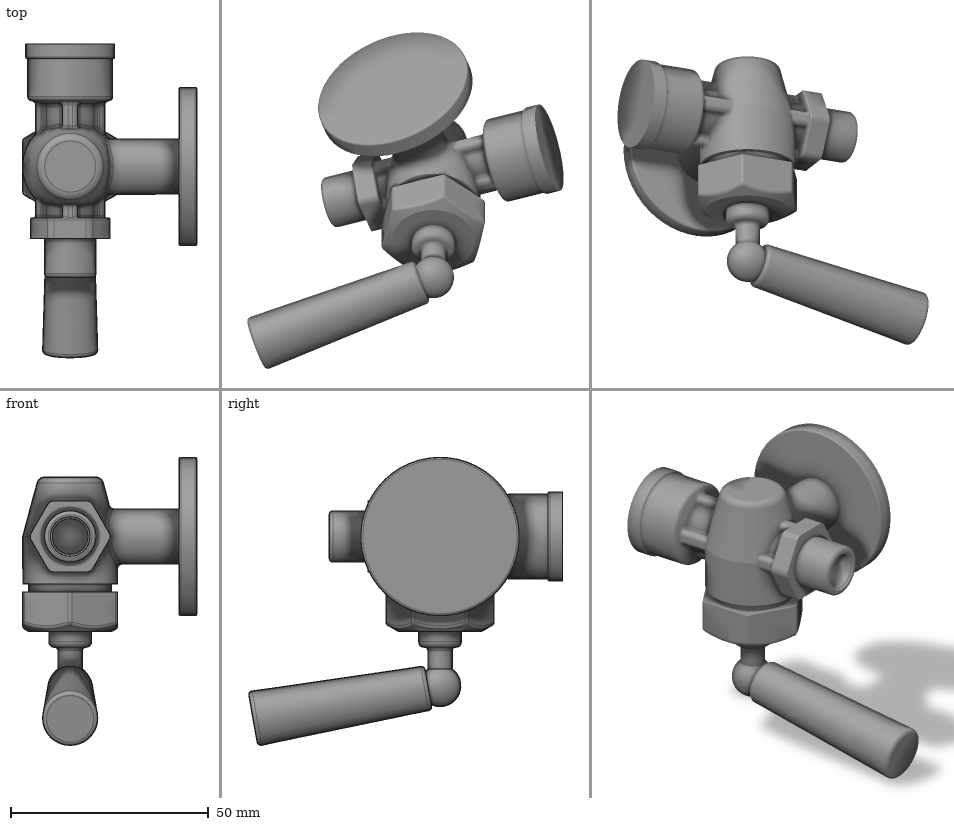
import cadquery as cq
import math


BODY_R = 12.0
BODY_TOP = 15.0
BODY_BOTTOM = -12.0
BODY_TAPER = 15.0
BODY_TOP_FILLET = 2.0

COLLAR_R = 10.5
NUT_TOP = BODY_BOTTOM - 2.0
NUT_BOTTOM = NUT_TOP - 10.0
NUT_FLATS = 24.0
NUT_CHAMFER_R = 10.5
NUT_CHAMFER_ANGLE = 30.0
NUT_EDGE_FILLET = 1.0

SPINDLE_COLLAR_R = 5.4
SPINDLE_COLLAR_BOTTOM = NUT_BOTTOM - 4.0
SPINDLE_COLLAR_FILLET = 1.45
SPINDLE_R = 3.1
KNUCKLE_R = 5.25
KNUCKLE_Z = -37.74

HANDLE_DROP = 10.0
HANDLE_START = 3.0
HANDLE_END = 48.0
HANDLE_START_R = 5.65
HANDLE_END_R = 7.0
HANDLE_FILLET = 1.0

PIPE_R = 7.0
PIPE_FILLET = 1.0
FLANGE_R = 20.0
FLANGE_FACE = 32.0
FLANGE_THICKNESS = 4.5
FLANGE_FILLET = 0.5

NECK_R = 6.5
NECK_END = 17.5
RIB_COUNT = 4
RIB_TIP = 8.75
RIB_WIDTH = 3.8
RIB_TIP_FILLET = 1.35
RIB_ROOT_FILLET = 1.0

SOCKET_R = 10.75
SOCKET_START = 16.9
SOCKET_FACE_TAPER = 15.0
SOCKET_END = 31.0
SOCKET_FILLET = 1.0
LIP_R = 11.25
LIP_START = 27.25
LIP_FILLET = LIP_R - SOCKET_R
SOCKET_ROOT_FILLET = 1.0

HEX_FLATS = 18.0
HEX_START = 13.0
HEX_END = 18.2
HEX_CORNER_FILLET = 2.0
HEX_RIM_FILLET = 0.5
HEX_ROOT_FILLET = 0.5
SPIGOT_R = NECK_R
SPIGOT_END = 28.0
SPIGOT_TIP_FILLET = 1.0
BORE_R = 4.5
BORE_DEPTH = 12.0
BORE_MOUTH_FILLET = 0.5

SOCKET_SIDE_FILLET = 0.8
HEX_SIDE_FILLET = 0.45

FAR = 100.0
SELECT_MARGIN = 0.1


def circumscribed(across_flats):
    """Diameter of the circle through the corners of a hexagon."""
    return across_flats / math.cos(math.radians(30))


def along_y(y):
    """Workplane at the given Y facing +Y, with its own X along part X."""
    return cq.Workplane(cq.Plane(origin=(0, y, 0), xDir=(1, 0, 0), normal=(0, 1, 0)))


def cylinder_y(radius, start, end):
    return along_y(start).circle(radius).extrude(end - start)


def y_range(low, high):
    """Selects edges lying wholly between two Y values."""
    return cq.selectors.BoxSelector((-FAR, low, -FAR), (FAR, high, FAR), boundingbox=True)


def turned_z(points):
    """Solid turned about Z from a closed outline of (radius, z) points."""
    return cq.Workplane("XZ").polyline(points).close().revolve(360, (0, 0), (0, 1))


def join_branches(core, neck):
    """Adds the wall pipe and the ribbed neck to a body core, with filleted junctions."""
    body = core.union(make_pipe())
    root = cq.selectors.BoxSelector(
        (PIPE_R, -FAR, -PIPE_R - 1), (FLANGE_FACE - FLANGE_THICKNESS - 1, FAR, PIPE_R + 1), boundingbox=True
    )
    body = body.edges(root).edges("not(|X)").fillet(PIPE_FILLET)
    body = body.union(neck)
    inner = NECK_R
    outer = NECK_END - SELECT_MARGIN
    body = body.edges(y_range(inner, outer)).edges("not(|Y)").fillet(SOCKET_SIDE_FILLET)
    return body.edges(y_range(-outer, -inner)).edges("not(|Y)").fillet(HEX_SIDE_FILLET)


def make_body():
    """Cylinder below the hose axis and cone above it.

    Each is joined to the branches at full height and then kept on its own side of z = 0.
    """
    slope = math.tan(math.radians(BODY_TAPER))
    top_r = BODY_R - BODY_TOP * slope
    base_r = BODY_R - BODY_BOTTOM * slope
    cylinder = turned_z([(0, BODY_BOTTOM), (BODY_R, BODY_BOTTOM), (BODY_R, BODY_TOP), (0, BODY_TOP)])
    cone = turned_z([(0, BODY_BOTTOM), (base_r, BODY_BOTTOM), (top_r, BODY_TOP), (0, BODY_TOP)])
    cone = cone.faces(">Z").edges().fillet(BODY_TOP_FILLET)
    neck = make_ribbed_neck()
    lower = join_branches(cylinder, neck).intersect(cq.Workplane("XY").rect(2 * FAR, 2 * FAR).extrude(-FAR))
    upper = join_branches(cone, neck).intersect(cq.Workplane("XY").rect(2 * FAR, 2 * FAR).extrude(FAR))
    return lower.union(upper)


def make_pipe():
    return cq.Workplane("YZ").circle(PIPE_R).extrude(FLANGE_FACE - FLANGE_THICKNESS)


def make_flange():
    flange = cq.Workplane("YZ", origin=(FLANGE_FACE, 0, 0)).circle(FLANGE_R).extrude(-FLANGE_THICKNESS)
    return flange.edges().fillet(FLANGE_FILLET)


def make_collar():
    return cq.Workplane("XY", origin=(0, 0, NUT_TOP)).circle(COLLAR_R).extrude(BODY_BOTTOM - NUT_TOP)


def make_nut():
    """Hexagon nut with a conical chamfer below and rounded edges."""
    corner_d = circumscribed(NUT_FLATS)
    nut = (
        cq.Workplane("XY", origin=(0, 0, NUT_BOTTOM))
        .transformed(rotate=(0, 0, 30))
        .polygon(6, corner_d)
        .extrude(NUT_TOP - NUT_BOTTOM)
    )
    outer_r = corner_d
    rise = (outer_r - NUT_CHAMFER_R) * math.tan(math.radians(NUT_CHAMFER_ANGLE))
    envelope = turned_z(
        [
            (0, NUT_BOTTOM),
            (NUT_CHAMFER_R, NUT_BOTTOM),
            (outer_r, NUT_BOTTOM + rise),
            (outer_r, NUT_TOP),
            (0, NUT_TOP),
        ]
    )
    return nut.intersect(envelope).edges("not(>Z or <Z)").fillet(NUT_EDGE_FILLET)


def make_spindle():
    """Spindle collar flowing into the thin spindle through a convex and a concave arc."""
    convex = SPINDLE_COLLAR_FILLET
    concave = SPINDLE_COLLAR_R - SPINDLE_R - convex
    profile = (
        cq.Workplane("XZ")
        .moveTo(0, NUT_BOTTOM)
        .lineTo(SPINDLE_COLLAR_R, NUT_BOTTOM)
        .lineTo(SPINDLE_COLLAR_R, SPINDLE_COLLAR_BOTTOM + convex)
        .radiusArc((SPINDLE_COLLAR_R - convex, SPINDLE_COLLAR_BOTTOM), convex)
        .radiusArc((SPINDLE_R, SPINDLE_COLLAR_BOTTOM - concave), -concave)
        .lineTo(SPINDLE_R, KNUCKLE_Z)
        .lineTo(0, KNUCKLE_Z)
        .close()
    )
    return profile.revolve(360, (0, 0), (0, 1))


def make_handle():
    """Tapered grip, made along -Y and tilted down about the knuckle."""
    grip = (
        cq.Workplane("XY")
        .moveTo(0, -HANDLE_START)
        .lineTo(HANDLE_START_R, -HANDLE_START)
        .lineTo(HANDLE_END_R, -HANDLE_END)
        .lineTo(0, -HANDLE_END)
        .close()
        .revolve(360, (0, 0), (0, 1))
        .edges("%CIRCLE")
        .fillet(HANDLE_FILLET)
    )
    knuckle = cq.Workplane("XY").sphere(KNUCKLE_R)
    return grip.union(knuckle).rotate((0, 0, 0), (1, 0, 0), HANDLE_DROP).translate((0, 0, KNUCKLE_Z))


def make_ribbed_neck():
    """Round neck with ribs; each bar through the axis makes two opposite ribs."""
    neck = cylinder_y(NECK_R, -NECK_END, NECK_END)
    rib = (
        along_y(-NECK_END)
        .rect(RIB_WIDTH, 2 * RIB_TIP)
        .extrude(2 * NECK_END)
        .edges("|Y")
        .fillet(RIB_TIP_FILLET)
    )
    for index in range(RIB_COUNT // 2):
        neck = neck.union(rib.rotate((0, 0, 0), (0, 1, 0), index * 360 / RIB_COUNT))
    roots = cq.selectors.BoxSelector((-NECK_R, -FAR, -NECK_R), (NECK_R, FAR, NECK_R))
    return neck.edges("|Y").edges(roots).fillet(RIB_ROOT_FILLET)


def socket_face_y(radius):
    """Y of the tapered inner face of the socket at a given radius."""
    return SOCKET_START - (SOCKET_R - radius) * math.tan(math.radians(SOCKET_FACE_TAPER))


def make_socket():
    tip_y = socket_face_y(0)
    barrel = (
        cq.Workplane("XY")
        .polyline([(0, tip_y), (SOCKET_R, SOCKET_START), (SOCKET_R, SOCKET_END), (0, SOCKET_END)])
        .close()
        .revolve(360, (0, 0), (0, 1))
    )
    barrel = barrel.edges("%CIRCLE").edges("<Y").fillet(SOCKET_FILLET)
    lip = cylinder_y(LIP_R, LIP_START, SOCKET_END).faces("<Y").edges().fillet(LIP_FILLET)
    return barrel.union(lip)


def make_hex():
    hexagon = along_y(-HEX_END).polygon(6, circumscribed(HEX_FLATS)).extrude(HEX_END - HEX_START)
    hexagon = hexagon.edges("|Y").fillet(HEX_CORNER_FILLET)
    return hexagon.faces(">Y").edges().fillet(HEX_RIM_FILLET)


def make_spigot():
    spigot = cylinder_y(SPIGOT_R, -SPIGOT_END, -HEX_END)
    return spigot.faces("<Y").edges().fillet(SPIGOT_TIP_FILLET)


def cut_bore(solid):
    """Blind bore up the spigot with a rounded mouth."""
    mouth_r = BORE_R + BORE_MOUTH_FILLET
    inner_y = BORE_DEPTH - SPIGOT_END
    profile = (
        cq.Workplane("XY")
        .moveTo(0, -SPIGOT_END)
        .lineTo(mouth_r, -SPIGOT_END)
        .radiusArc((BORE_R, BORE_MOUTH_FILLET - SPIGOT_END), -BORE_MOUTH_FILLET)
        .lineTo(BORE_R, inner_y)
        .lineTo(0, inner_y)
        .close()
    )
    return solid.cut(profile.revolve(360, (0, 0), (0, 1)))


def fillet_neck_end(solid, y_1, y_2, radius):
    """Fillets the edges where the ribbed neck meets another piece, between two Y values."""
    reach = RIB_TIP + SELECT_MARGIN
    low = min(y_1, y_2) - SELECT_MARGIN
    high = max(y_1, y_2) + SELECT_MARGIN
    return solid.edges(cq.selectors.BoxSelector((-reach, low, -reach), (reach, high, reach), True)).fillet(radius)


result = make_body().union(make_socket())
result = fillet_neck_end(result, socket_face_y(NECK_R), socket_face_y(RIB_TIP), SOCKET_ROOT_FILLET)
result = result.union(make_hex())
result = fillet_neck_end(result, -HEX_START, -HEX_START - HEX_RIM_FILLET / 2, HEX_ROOT_FILLET)
result = cut_bore(result.union(make_spigot()))
for piece in (make_flange(), make_collar(), make_nut(), make_spindle(), make_handle()):
    result = result.union(piece)